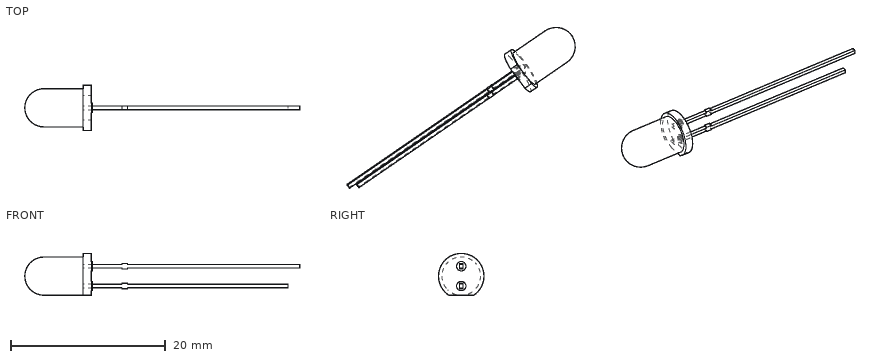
import cadquery as cq


LENS_RADIUS = 2.5
FLANGE_RADIUS = 2.95
FLANGE_FRONT_X = 7.55
FLANGE_THICKNESS = 1.07
FLANGE_BACK_X = FLANGE_FRONT_X + FLANGE_THICKNESS
FLAT_Z = -LENS_RADIUS
COLLAR_RADIUS = 0.6
COLLAR_HEIGHT = 0.15

LEAD_THICKNESS = 0.5
LEAD_PITCH = 2.55
LONG_LEAD_END_X = 35.6
SHORT_LEAD_END_X = 34.1
STOP_START_X = 12.55
STOP_LENGTH = 0.75
STOP_HEIGHT = 0.75

LEADS = [
    (LEAD_PITCH / 2, LONG_LEAD_END_X),
    (-LEAD_PITCH / 2, SHORT_LEAD_END_X),
]


def bar_along_x(start_x, end_x, center_z, height):
    """Rectangular bar, one lead thickness wide in Y."""
    return (
        cq.Workplane("YZ", origin=(start_x, 0, center_z))
        .rect(LEAD_THICKNESS, height)
        .extrude(end_x - start_x)
    )


def make_lead(center_z, end_x):
    """Square wire, seated through the flange, with a raised stop near the lamp."""
    wire = bar_along_x(FLANGE_FRONT_X, end_x, center_z, LEAD_THICKNESS)
    stop = bar_along_x(STOP_START_X, STOP_START_X + STOP_LENGTH, center_z, STOP_HEIGHT)
    return wire.union(stop)


def make_lens():
    """Cylinder with a hemispherical nose."""
    return (
        cq.Workplane("XY")
        .radiusArc((LENS_RADIUS, LENS_RADIUS), LENS_RADIUS)
        .lineTo(FLANGE_FRONT_X, LENS_RADIUS)
        .lineTo(FLANGE_FRONT_X, 0)
        .close()
        .revolve(360, (0, 0, 0), (1, 0, 0))
    )


def make_flange():
    """Round flange with a flat along its lower side."""
    disc = cq.Workplane("YZ", origin=(FLANGE_FRONT_X, 0, 0)).circle(FLANGE_RADIUS).extrude(FLANGE_THICKNESS)
    flange_width = 2 * FLANGE_RADIUS
    above_flat = cq.Workplane("XY", origin=(FLANGE_FRONT_X, 0, FLAT_Z)).box(
        FLANGE_THICKNESS, flange_width, flange_width, centered=(False, True, False)
    )
    return disc.intersect(above_flat)


def make_collar(center_z):
    """Low round boss where a lead leaves the flange."""
    return cq.Workplane("YZ", origin=(FLANGE_BACK_X, 0, center_z)).circle(COLLAR_RADIUS).extrude(COLLAR_HEIGHT)


def make_housing(leads):
    """Lens, flange and collars in one piece, with a matching hole for each lead."""
    housing = make_lens().union(make_flange())
    for center_z, _ in LEADS:
        housing = housing.union(make_collar(center_z))
    for lead in leads:
        housing = housing.cut(lead)
    return housing


leads = [make_lead(center_z, end_x) for center_z, end_x in LEADS]
housing = make_housing(leads)

result = cq.Compound.makeCompound([housing.val(), *[lead.val() for lead in leads]])